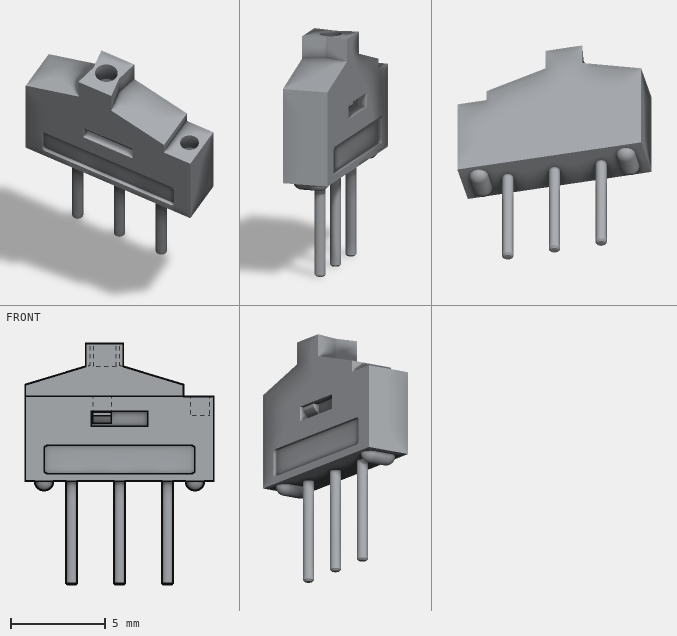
import cadquery as cq

housing_length = 10.0
body_width = 2.5
housing_height = 4.5
front_y = -body_width / 2

end_hole_radius = 0.5
end_hole_depth = 1.0
end_hole_x = 4.25

window_length = 3.0
window_height = 0.8
window_bottom = 2.9
window_depth = 0.5

plate_length = 8.0
plate_height = 1.5
plate_bottom = 0.4
plate_depth = 0.2
plate_corner_radius = 0.2

foot_radius = 0.5
foot_straight_length = 1.0
foot_spacing = 8.0

pin_count = 3
pin_pitch = 2.54
pin_radius = 0.3
pin_length = 5.5
pin_chamfer = 0.1

slider_length = 8.4
slider_edge_height = 0.62
slope_rise = 0.97
slider_height = 2.8
slider_x = (slider_length - housing_length) / 2
knob_length = 2.0
knob_waist_depth = 0.22
knob_hole_radius = 0.6
knob_hole_depth = 1.2

tongue_length = 0.98
tongue_side_gap = 0.08
tongue_bottom = 3.07
tongue_thickness = body_width - 2 * window_depth
tongue_x = -window_length / 2 + tongue_side_gap + tongue_length / 2
tongue_front_y = front_y + window_depth
catch_top_gap = 0.05
catch_top = window_bottom + window_height - catch_top_gap
catch_flat_height = 0.17
catch_reach = 0.37


def block(length, width, height, x, y, bottom):
    """Box centred on x and y, rising from the given bottom height."""
    return (
        cq.Workplane("XY")
        .box(length, width, height, centered=(True, True, False))
        .translate((x, y, bottom))
    )


def front_pocket(length, height, bottom, depth):
    """Cutter that sinks a rectangle into the front face."""
    return block(length, depth, height, 0, front_y + depth / 2, bottom)


def blind_hole(radius, depth, x, top):
    """Vertical round cutter going down from the given top height."""
    return cq.Workplane("XY", origin=(x, 0, top)).circle(radius).extrude(-depth)


def tongue():
    """Tongue reaching down from the slider base into the housing."""
    height = housing_height - tongue_bottom
    return block(tongue_length, tongue_thickness, height, tongue_x, 0, tongue_bottom)


def catch():
    """Wedge on the front of the tongue: short flat on top, sloping back below."""
    catch_front_y = tongue_front_y - catch_reach
    return (
        cq.Workplane("YZ", origin=(tongue_x, 0, 0))
        .moveTo(tongue_front_y, catch_top)
        .lineTo(catch_front_y, catch_top)
        .lineTo(catch_front_y, catch_top - catch_flat_height)
        .lineTo(tongue_front_y, tongue_bottom)
        .close()
        .extrude(tongue_length / 2, both=True)
    )


def foot(x):
    """Bar with ball ends along Y, its upper half sunk in the housing."""
    half_length = foot_straight_length / 2
    bar = (
        cq.Workplane("XZ", origin=(x, 0, 0))
        .circle(foot_radius)
        .extrude(half_length, both=True)
    )
    for end_y in (-half_length, half_length):
        bar = bar.union(cq.Workplane("XY", origin=(x, end_y, 0)).sphere(foot_radius))
    return bar


def pin(x):
    """Round terminal with a chamfered tip, hanging from the housing bottom."""
    return (
        cq.Workplane("XY", origin=(x, 0, 0))
        .circle(pin_radius)
        .extrude(-pin_length)
        .faces("<Z")
        .chamfer(pin_chamfer)
    )


def make_housing():
    plate_recess = front_pocket(plate_length, plate_height, plate_bottom, plate_depth)
    plate_recess = plate_recess.edges("|Y").fillet(plate_corner_radius)

    body = block(housing_length, body_width, housing_height, 0, 0, 0)
    for foot_x in (-foot_spacing / 2, foot_spacing / 2):
        body = body.union(foot(foot_x))
    for index in range(pin_count):
        body = body.union(pin((index - (pin_count - 1) / 2) * pin_pitch))

    window = front_pocket(window_length, window_height, window_bottom, window_depth)
    end_hole = blind_hole(end_hole_radius, end_hole_depth, end_hole_x, housing_height)
    return body.cut(plate_recess).cut(window).cut(end_hole).cut(tongue())


def make_slider():
    half_length = slider_length / 2
    half_knob = knob_length / 2
    half_waist = half_knob - knob_waist_depth
    slope_start = housing_height + slider_edge_height
    slope_end = slope_start + slope_rise
    slider_top = housing_height + slider_height
    slope_run = half_length - half_knob
    ridge_height = slope_end + slope_rise * half_knob / slope_run

    base = (
        cq.Workplane("XZ", origin=(slider_x, 0, 0))
        .moveTo(-half_length, housing_height)
        .lineTo(-half_length, slope_start)
        .lineTo(0, ridge_height)
        .lineTo(half_length, slope_start)
        .lineTo(half_length, housing_height)
        .close()
        .extrude(body_width / 2, both=True)
    )
    knob = (
        cq.Workplane("XY", origin=(slider_x, 0, housing_height))
        .moveTo(-half_knob, front_y)
        .lineTo(half_knob, front_y)
        .lineTo(half_waist, 0)
        .lineTo(half_knob, -front_y)
        .lineTo(-half_knob, -front_y)
        .lineTo(-half_waist, 0)
        .close()
        .extrude(slider_height)
    )
    knob_hole = blind_hole(knob_hole_radius, knob_hole_depth, slider_x, slider_top)
    return base.union(knob).cut(knob_hole).union(tongue()).union(catch())


housing = make_housing()
slider = make_slider()

result = cq.Compound.makeCompound([housing.val(), slider.val()])